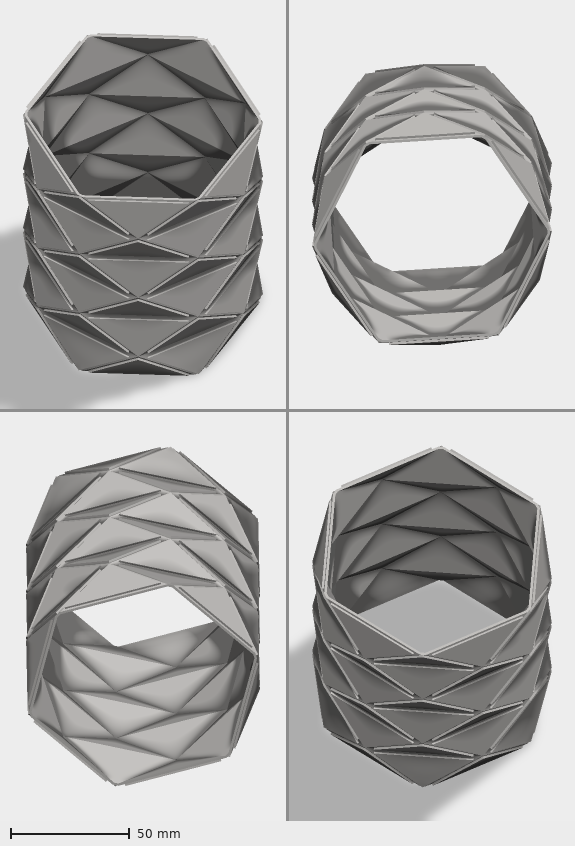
import cadquery as cq
import math


height = 118.0
end_trim = 1.0
side_count = 6
layer_count = 6
ring_radius = 50.0
wall = 1.0
panel_thickness = 1.0
valley_margin = 2.0
ridge_margin = 1.0

layer_height = (height + 2 * end_trim) / layer_count
bottom_level = -height / 2 - end_trim
half_step = 180.0 / side_count
cos_half_step = math.cos(math.radians(half_step))
ring_apothem = ring_radius * cos_half_step
half_side = ring_radius * math.sin(math.radians(half_step))
facet_lean = ring_radius - ring_apothem
facet_rise = math.hypot(layer_height, facet_lean)
facet_tilt = math.atan2(facet_lean, layer_height)
wall_across = wall / math.cos(facet_tilt)


def hexagonal_frustum(bottom_apothem, top_apothem, turn):
    """One layer high, with its first corner turned from +X by the given degrees."""
    return (
        cq.Workplane("XY")
        .polygon(side_count, 2 * bottom_apothem / cos_half_step)
        .workplane(offset=layer_height)
        .polygon(side_count, 2 * top_apothem / cos_half_step)
        .loft(ruled=True)
        .rotate((0, 0, 0), (0, 0, 1), turn)
    )


def layer_block(layer, inset):
    """Solid band of facets, all moved inwards horizontally by the inset."""
    apothem = ring_apothem - inset
    radius = ring_radius - inset
    bottom_turn = (layer % 2) * half_step
    top_turn = half_step - bottom_turn
    widening = hexagonal_frustum(apothem, radius, bottom_turn)
    narrowing = hexagonal_frustum(radius, apothem, top_turn)
    return widening.intersect(narrowing).translate((0, 0, bottom_level + layer * layer_height))


def faceted_column(inset):
    column = layer_block(0, inset)
    for layer in range(1, layer_count):
        column = column.union(layer_block(layer, inset))
    return column


def faceted_wall():
    trim_box = cq.Workplane("XY").box(3 * ring_radius, 3 * ring_radius, height)
    return faceted_column(0).cut(faceted_column(wall_across)).intersect(trim_box)


def facet_panel(ring, side, direction):
    """Panel on the facet that rises (direction 1) or drops (-1) from one side of a ring."""
    base_angle = math.atan2(facet_rise, half_side)
    half_base = half_side - valley_margin / math.tan(base_angle) - ridge_margin / math.sin(base_angle)
    apex = facet_rise - ridge_margin / math.cos(base_angle)

    azimuth = math.radians((2 * side + 1 + ring % 2) * half_step)
    out_x = math.cos(azimuth)
    out_y = math.sin(azimuth)
    normal_out = math.cos(facet_tilt)
    normal_up = -direction * math.sin(facet_tilt)
    facet_plane = cq.Plane(
        origin=(ring_apothem * out_x, ring_apothem * out_y, bottom_level + ring * layer_height),
        xDir=(-direction * out_y, direction * out_x, 0),
        normal=(normal_out * out_x, normal_out * out_y, normal_up),
    )
    outline = [(-half_base, valley_margin), (half_base, valley_margin), (0, apex)]
    return cq.Workplane(facet_plane).polyline(outline).close().extrude(panel_thickness)


def all_panels():
    panels = []
    for layer in range(layer_count):
        for side in range(side_count):
            panels.append(facet_panel(layer, side, 1).val())
            panels.append(facet_panel(layer + 1, side, -1).val())
    return cq.Workplane(cq.Compound.makeCompound(panels))


faceted_tube = faceted_wall().union(all_panels())

result = cq.Compound.makeCompound(faceted_tube.solids().vals())